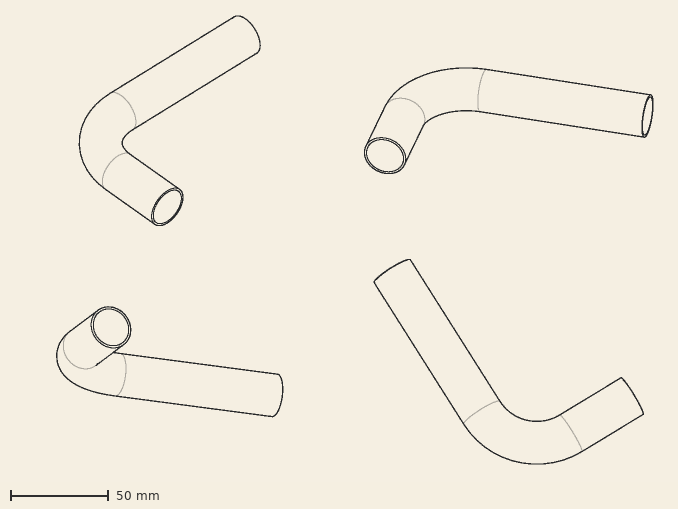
import cadquery as cq

overall_x = 81.0
overall_y = 131.0

outer_diameter = 22.0
bore_diameter = 19.6
bend_radius = 1.5 * outer_diameter

bend_reach = bend_radius + outer_diameter / 2
short_leg = overall_x - bend_reach
long_leg = overall_y - bend_reach


def tube_section(plane, origin=(0, 0, 0)):
    """Annular tube section, ready to extrude or revolve."""
    section = cq.Workplane(plane, origin=origin)
    return section.circle(outer_diameter / 2).circle(bore_diameter / 2)


long_tube = tube_section("XZ").extrude(-long_leg)

bend = tube_section("XZ").revolve(90, (bend_radius, 0), (bend_radius, 1))

short_tube = tube_section("YZ", (bend_radius, -bend_radius, 0)).extrude(short_leg)

result = long_tube.union(bend).union(short_tube)